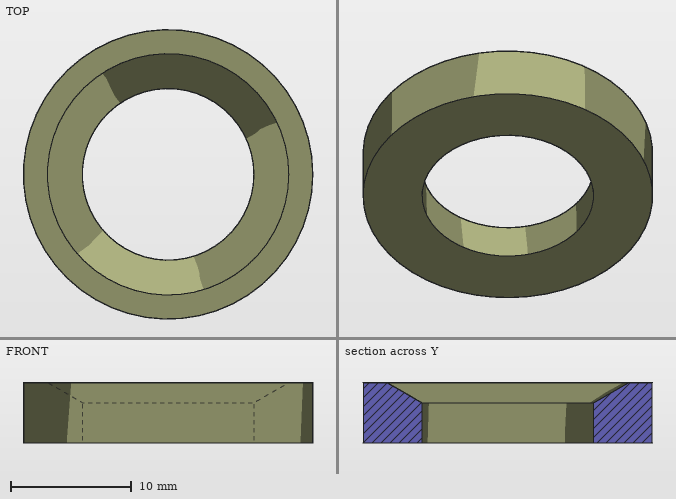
import cadquery as cq
import math

OUTER_DIAMETER = 24.0
THICKNESS = 5.0
BORE_DIAMETER = 14.2
SEAT_DIAMETER = 20.0
SEAT_ANGLE = 120.0

outer_radius = OUTER_DIAMETER / 2
bore_radius = BORE_DIAMETER / 2
seat_radius = SEAT_DIAMETER / 2
seat_depth = (seat_radius - bore_radius) / math.tan(math.radians(SEAT_ANGLE / 2))


def washer():
    """Revolve the half section of the ring around the Z axis."""
    half_section = (
        cq.Workplane("XZ")
        .moveTo(bore_radius, 0)
        .lineTo(outer_radius, 0)
        .lineTo(outer_radius, THICKNESS)
        .lineTo(seat_radius, THICKNESS)
        .lineTo(bore_radius, THICKNESS - seat_depth)
        .close()
    )
    return half_section.revolve(360, (0, 0, 0), (0, 1, 0))


result = washer()